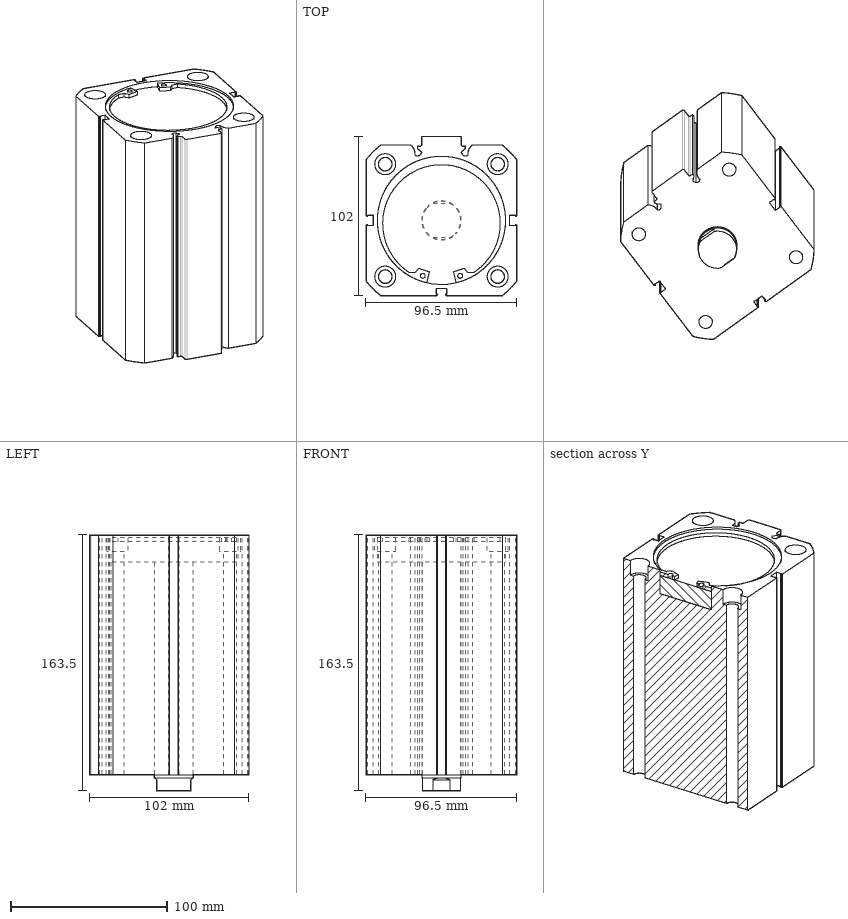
import cadquery as cq
import math

total_height = 163.5
body_width = 96.5
rod_reach = 10.1
body_height = total_height - rod_reach
half_width = body_width / 2
corner_radius = 62.0

hole_offset = 36.0
hole_diameter = 8.5
counterbore_diameter = 13.4
counterbore_depth = 10.5

slot_mouth_width = 5.2
slot_inner_width = 6.5
slot_depth = 4.5
slot_lip = 1.0
slot_mouth_chamfer = 0.5

rail_rise = 5.5
rail_half_width = 12.8
rail_edge_radius = 0.8
rail_root_radius = 0.7
lip_half_width = 15.4
lip_top_drop = 0.7
lip_bottom_drop = 2.3
notch_half_width = 12.6
notch_drop = 4.7
groove_depth = 6.5
groove_floor_sag = 0.5
groove_inner_x = 13.9
groove_outer_x = 16.8
groove_wall_top = 5.4
groove_mouth_x = 19.8
groove_flare_radius = 7.0

bore_radius = 41.0
ring_recess = 1.5
ring_thickness = 2.5
ring_inner_radius = 37.6
ring_inner_shift = 2.0
ring_gap_angle = 13.2
lug_angle = 18.6
lug_hole_distance = 37.5
lug_hole_diameter = 3.1
lug_face_distance = 33.7
lug_far_angle = 25.3
lug_end_angle = 31.0
lug_neck_x = 16.8
lug_root_y = -33.4
cover_thickness = 13.0

rod_radius = 12.3
flat_distance = 11.0
flat_length = 7.0
collar_radius = 12.6
collar_reach = 1.8

ring_bottom = body_height - ring_recess - ring_thickness
cover_bottom = ring_bottom - cover_thickness


def polar(radius, angle):
    """Point at the given radius, with the angle in degrees from -Y towards +X."""
    a = math.radians(angle)
    return (radius * math.sin(a), -radius * math.cos(a))


def slot_cutter():
    """T-slot along Z, open towards -Y."""
    mouth = cq.Workplane("XY").box(slot_mouth_width, slot_depth, body_height, centered=(True, False, False))
    inner_depth = slot_depth - slot_lip
    inner = (
        cq.Workplane("XY")
        .box(slot_inner_width, inner_depth, body_height, centered=(True, False, False))
        .translate((0, slot_lip, 0))
    )
    outer_half_mouth = slot_mouth_width / 2 + slot_mouth_chamfer
    apex_depth = outer_half_mouth
    flare = cq.Workplane("XY").polyline([(-outer_half_mouth, 0), (outer_half_mouth, 0), (0, apex_depth)])
    flare = flare.close().extrude(body_height)
    return mouth.union(inner).union(flare).translate((0, -half_width, 0))


def rail_groove():
    """Groove on the +X side of the rail, cut down from the +Y face."""
    outer = half_width + rail_rise
    top = half_width
    return (
        cq.Workplane("XY")
        .moveTo(rail_half_width, outer)
        .lineTo(rail_half_width, top - lip_top_drop + rail_root_radius)
        .radiusArc((rail_half_width + rail_root_radius, top - lip_top_drop), -rail_root_radius)
        .lineTo(lip_half_width, top - lip_top_drop)
        .lineTo(lip_half_width, top - lip_bottom_drop)
        .lineTo(notch_half_width, top - notch_drop)
        .lineTo(groove_inner_x, top - groove_depth)
        .sagittaArc((groove_outer_x, top - groove_depth), -groove_floor_sag)
        .lineTo(groove_outer_x, top - groove_wall_top)
        .radiusArc((groove_mouth_x, top), groove_flare_radius)
        .lineTo(groove_mouth_x, outer)
        .close()
        .extrude(body_height)
    )


def make_rail():
    """Straight rail that stands on the +Y side of the housing."""
    return (
        cq.Workplane("XY")
        .box(2 * rail_half_width, rail_rise, body_height, centered=(True, False, False))
        .edges("|Z and >Y")
        .fillet(rail_edge_radius)
        .translate((0, half_width, 0))
    )


def make_housing():
    """Square block with turned corners, grooves, mounting holes and a stepped bore."""
    block = cq.Workplane("XY").rect(body_width, body_width).extrude(body_height)
    housing = block.intersect(cq.Workplane("XY").circle(corner_radius).extrude(body_height))
    housing = housing.union(make_rail())
    groove = rail_groove()
    housing = housing.cut(groove).cut(groove.mirror("YZ"))
    for angle in (-90, 0, 90):
        housing = housing.cut(slot_cutter().rotate((0, 0, 0), (0, 0, 1), angle))
    housing = (
        housing.faces(">Z")
        .workplane(origin=(0, 0, body_height))
        .rect(2 * hole_offset, 2 * hole_offset, forConstruction=True)
        .vertices()
        .cboreHole(hole_diameter, counterbore_diameter, counterbore_depth)
    )
    bore = cq.Workplane("XY").workplane(offset=cover_bottom).circle(bore_radius).extrude(body_height)
    rod_hole = cq.Workplane("XY").circle(rod_radius).extrude(body_height)
    return housing.cut(bore).cut(rod_hole)


def make_cover():
    """Disc that closes the bore under the retaining ring."""
    return cq.Workplane("XY").workplane(offset=cover_bottom).circle(bore_radius).extrude(cover_thickness)


def lug_outline(side):
    """Outline of one lug; side is 1 for +X and -1 for -X."""
    root_x = math.sqrt(ring_inner_radius**2 - (lug_root_y + ring_inner_shift) ** 2)
    points = [
        polar(bore_radius, ring_gap_angle),
        polar(lug_face_distance / math.cos(math.radians(lug_angle - ring_gap_angle)), ring_gap_angle),
        polar(lug_face_distance / math.cos(math.radians(lug_far_angle - lug_angle)), lug_far_angle),
        (lug_neck_x, lug_root_y),
        (root_x, lug_root_y),
        polar(bore_radius, lug_end_angle),
    ]
    return [(side * x, y) for x, y in points]


def make_retaining_ring():
    """Open eccentric ring with a drilled lug on each side of its gap."""
    plane = cq.Workplane("XY").workplane(offset=ring_bottom)
    disc = plane.circle(bore_radius).extrude(ring_thickness)
    ring = disc.cut(plane.center(0, -ring_inner_shift).circle(ring_inner_radius).extrude(ring_thickness))
    reach = 2 * bore_radius
    gap = plane.polyline([(0, 0), polar(reach, -ring_gap_angle), polar(reach, ring_gap_angle)]).close()
    ring = ring.cut(gap.extrude(ring_thickness))
    for side in (-1, 1):
        lug = plane.polyline(lug_outline(side)).close().extrude(ring_thickness)
        ring = ring.union(lug.intersect(disc))
        x, y = polar(lug_hole_distance, side * lug_angle)
        ring = ring.cut(plane.center(x, y).circle(lug_hole_diameter / 2).extrude(ring_thickness))
    return ring


def make_rod():
    """Rod from its tip up to the cover, with two wrench flats near the tip."""
    rod = cq.Workplane("XY").workplane(offset=-rod_reach).circle(rod_radius).extrude(rod_reach + cover_bottom)
    runout = rod_radius - flat_distance
    top = -rod_reach + flat_length
    flat = (
        cq.Workplane("YZ")
        .polyline(
            [
                (-flat_distance, -rod_reach),
                (-flat_distance, top),
                (-flat_distance - runout, top + runout),
                (-flat_distance - runout, -rod_reach),
            ]
        )
        .close()
        .extrude(rod_radius, both=True)
    )
    return rod.cut(flat).cut(flat.mirror("XZ"))


def make_collar():
    """Ring around the rod, below the underside of the housing."""
    return cq.Workplane("XY").circle(collar_radius).circle(rod_radius).extrude(-collar_reach)


housing = make_housing()
cover = make_cover()
retaining_ring = make_retaining_ring()
rod = make_rod()
collar = make_collar()

result = cq.Compound.makeCompound(
    [
        housing.val(),
        cover.val(),
        retaining_ring.val(),
        rod.val(),
        collar.val(),
    ]
)